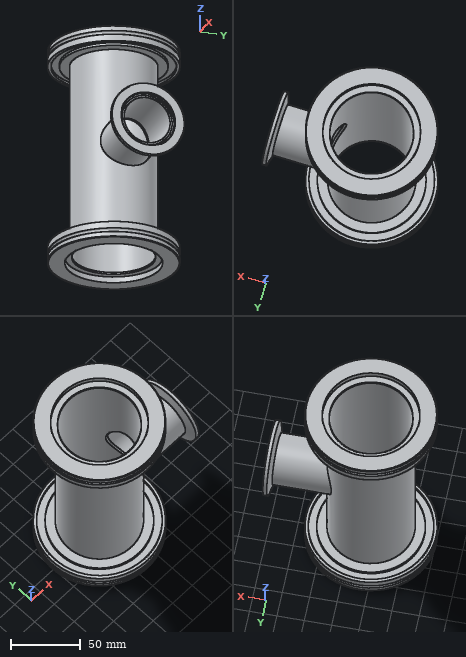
import cadquery as cq

total_height = 165.2
overall_width = 121.3
branch_height = total_height / 2

pipe_diameter = 63.5
pipe_bore = 60.0

flange_diameter = 95.0
flange_thickness = 11.9
flange_bore = 60.1
face_recess_diameter = 70.0
face_recess_depth = 4.5
lip_thickness = 1.3
face_chamfer = 0.5
rim_groove_width = 2.8
rim_groove_depth = 1.3
rim_groove_position = 5.5
back_channel_outer = 90.0
back_channel_inner = 78.0
back_channel_depth = 2.0

branch_diameter = 38.2
branch_bore = 35.0
clamp_diameter = 55.0
clamp_rim_thickness = 3.0
clamp_thickness = 5.3
clamp_root_diameter = 39.6
clamp_recess_diameter = 41.1
clamp_recess_depth = 2.6

branch_end = overall_width - flange_diameter / 2
pipe_end = face_recess_depth + lip_thickness


def cylinder(diameter, length, start=0.0):
    """Cylinder along +Z starting at the given height."""
    return cq.Workplane("XY").workplane(offset=start).circle(diameter / 2).extrude(length)


def along_branch(body):
    """Turn a body built along +Z so that it lies along the branch axis."""
    return body.rotate((0, 0, 0), (0, 1, 0), 90).translate((0, 0, branch_height))


def make_main_pipe():
    length = total_height - 2 * pipe_end
    pipe = cylinder(pipe_diameter, length, pipe_end).cut(cylinder(pipe_bore, length, pipe_end))
    return pipe.cut(along_branch(cylinder(branch_bore, pipe_diameter)))


def make_bottom_flange():
    """Flange with its outer face on Z = 0."""
    radius = flange_diameter / 2
    groove_bottom = rim_groove_position - rim_groove_width / 2
    groove_top = rim_groove_position + rim_groove_width / 2
    disc = (
        cq.Workplane("XZ")
        .lineTo(radius - face_chamfer, 0)
        .lineTo(radius, face_chamfer)
        .lineTo(radius, groove_bottom)
        .threePointArc((radius - rim_groove_depth, rim_groove_position), (radius, groove_top))
        .lineTo(radius, flange_thickness)
        .lineTo(0, flange_thickness)
        .close()
        .revolve(360, (0, 0, 0), (0, 1, 0))
    )
    channel_floor = flange_thickness - back_channel_depth
    channel = cylinder(back_channel_outer, back_channel_depth, channel_floor).cut(
        cylinder(back_channel_inner, back_channel_depth, channel_floor)
    )
    face_recess = cylinder(face_recess_diameter, face_recess_depth)
    through_bore = cylinder(flange_bore, flange_thickness)
    pipe_socket = cylinder(pipe_diameter, flange_thickness - pipe_end, pipe_end)
    return disc.cut(channel).cut(face_recess).cut(through_bore).cut(pipe_socket)


def make_main_flanges():
    bottom = make_bottom_flange()
    middle = (0, 0, total_height / 2)
    beside_middle = (1, 0, total_height / 2)
    return [bottom.rotate(middle, beside_middle, angle) for angle in (0, 180)]


def make_branch_pipe():
    """Pipe saddled on the main pipe, ending at the floor of the clamp flange recess."""
    length = branch_end - clamp_recess_depth
    pipe = along_branch(cylinder(branch_diameter, length).cut(cylinder(branch_bore, length)))
    return pipe.cut(cylinder(pipe_diameter, total_height))


def make_clamp_flange():
    """Flange with a tapered back, fitted round the end of the branch pipe."""
    back = branch_end - clamp_thickness
    flange = (
        cq.Workplane("XZ")
        .moveTo(0, back)
        .lineTo(clamp_root_diameter / 2, back)
        .lineTo(clamp_diameter / 2, branch_end - clamp_rim_thickness)
        .lineTo(clamp_diameter / 2, branch_end)
        .lineTo(0, branch_end)
        .close()
        .revolve(360, (0, 0, 0), (0, 1, 0))
    )
    recess = cylinder(clamp_recess_diameter, clamp_recess_depth, branch_end - clamp_recess_depth)
    pipe_socket = cylinder(branch_diameter, clamp_thickness, back)
    return along_branch(flange.cut(recess).cut(pipe_socket))


main_pipe = make_main_pipe()
main_flanges = make_main_flanges()
branch_pipe = make_branch_pipe()
clamp_flange = make_clamp_flange()

result = cq.Compound.makeCompound(
    [
        main_pipe.val(),
        *[flange.val() for flange in main_flanges],
        branch_pipe.val(),
        clamp_flange.val(),
    ]
)